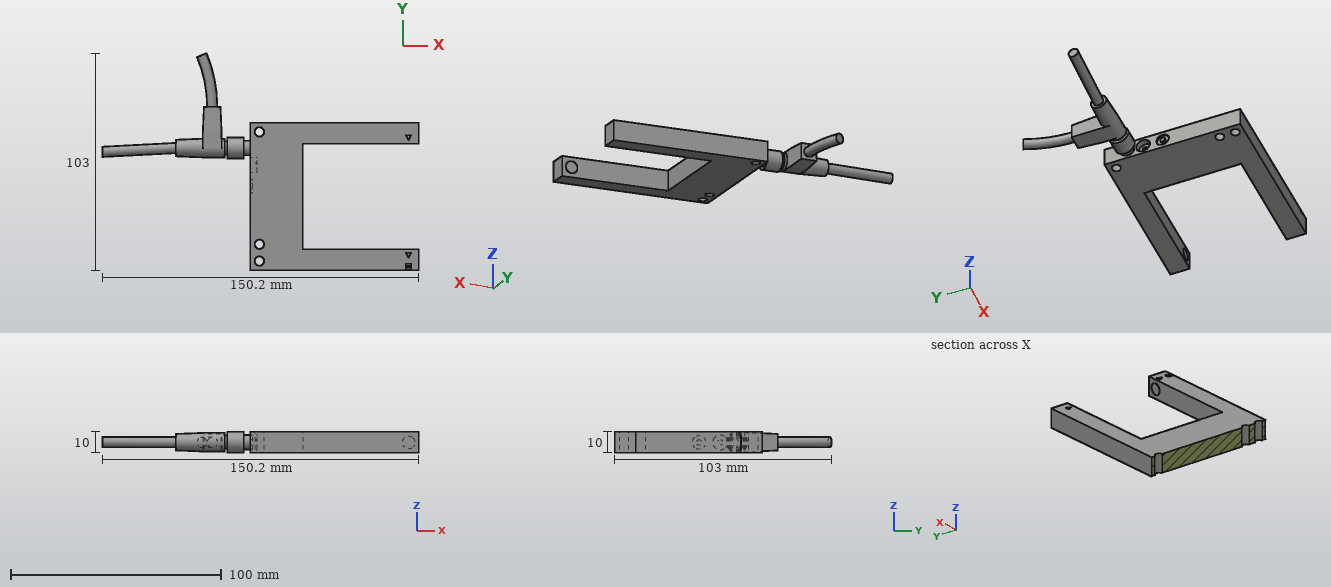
import cadquery as cq
import math


overall_length = 150.2

housing_length = 80.0
housing_width = 70.0
housing_height = 10.0
arm_width = 10.0
web_depth = 25.0
half_width = housing_width / 2
half_height = housing_height / 2
gap_width = housing_width - 2 * arm_width

mount_diameter = 4.4
mount_inset = 4.4
mount_pitch = 8.0

plug_axis_y = half_width - 12.0
indicator_y = half_width - 20.0
indicator_diameter = 7.0
indicator_depth = 3.0
indicator_stud_height = 0.5
trimmer_y = half_width - 30.0
trimmer_diameter = 6.5
trimmer_depth = 0.9
trimmer_stud_height = 0.9
stud_diameter = 2.5

lens_diameter = 6.0
lens_depth = 0.2
lens_inset = 5.0
mark_depth = 0.2
mark_size = 2.4
mark_edge_gap = 1.8
bar_count = 2
bar_height = 0.9
bar_edge_gap = 0.5

spigot_length = 3.0
spigot_diameter = 7.0
nut_length = 8.0
nut_diameter = 10.0
neck_length = 1.2
neck_diameter = 6.5
barrel_length = 10.0
barrel_diameter = 9.0
boot_length = 13.0
boot_end_diameter = 8.0
plug_length = spigot_length + nut_length + neck_length + barrel_length + boot_length

branch_x = -18.0
branch_size = barrel_diameter
branch_straight = 7.7
branch_length = 19.5
branch_end_size = boot_end_diameter

cable_diameter = 5.0
straight_cable_end_x = housing_length - overall_length
straight_cable_shift = 1.8
bend_radius = 63.1
bend_angle = math.radians(22.9)


def mark_pocket(outline):
    """Shallow cutter under the top face for an outline drawn on the XY plane."""
    return outline.extrude(-mark_depth).translate((0, 0, half_height))


def arm_triangle(inner_face_y, arm_direction):
    """Triangle mark near the tip of an arm, pointing along -Y."""
    centre_x = housing_length - lens_inset
    near_y = inner_face_y + arm_direction * mark_edge_gap
    tip_y = min(near_y, near_y + arm_direction * mark_size)
    outline = (
        cq.Workplane("XY")
        .moveTo(centre_x, tip_y)
        .lineTo(centre_x + mark_size / 2, tip_y + mark_size)
        .lineTo(centre_x - mark_size / 2, tip_y + mark_size)
        .close()
    )
    return mark_pocket(outline)


def recess_with_stud(centre_y, diameter, depth, stud_height):
    """Cutter for a round recess in the back face that leaves a stud on its floor."""
    recess = cq.Workplane("YZ").center(centre_y, 0).circle(diameter / 2).extrude(depth)
    stud = (
        cq.Workplane("YZ", origin=(depth - stud_height, 0, 0))
        .center(centre_y, 0)
        .circle(stud_diameter / 2)
        .extrude(stud_height)
    )
    return recess.cut(stud)


def make_housing():
    body = cq.Workplane("XY").box(
        housing_length, housing_width, housing_height, centered=(False, True, True)
    )
    gap = cq.Workplane("XY", origin=(web_depth, 0, 0)).box(
        housing_length - web_depth, gap_width, housing_height, centered=(False, True, True)
    )
    body = body.cut(gap)

    outer_hole_y = half_width - mount_inset
    hole_places = [
        (mount_inset, outer_hole_y),
        (mount_inset, -outer_hole_y),
        (mount_inset, -outer_hole_y + mount_pitch),
    ]
    mount_holes = (
        cq.Workplane("XY")
        .pushPoints(hole_places)
        .circle(mount_diameter / 2)
        .extrude(half_height, both=True)
    )
    body = body.cut(mount_holes)

    body = body.cut(
        recess_with_stud(indicator_y, indicator_diameter, indicator_depth, indicator_stud_height)
    )
    body = body.cut(
        recess_with_stud(trimmer_y, trimmer_diameter, trimmer_depth, trimmer_stud_height)
    )

    window_span = gap_width / 2 + lens_depth
    windows = (
        cq.Workplane("XZ")
        .center(housing_length - lens_inset, 0)
        .circle(lens_diameter / 2)
        .extrude(window_span, both=True)
    )
    body = body.cut(windows)

    for arm_direction in (1, -1):
        body = body.cut(arm_triangle(arm_direction * gap_width / 2, arm_direction))

    for bar_number in range(bar_count):
        bar_y = -half_width + bar_edge_gap + (2 * bar_number + 0.5) * bar_height
        bar = cq.Workplane("XY").center(housing_length - lens_inset, bar_y).rect(mark_size, bar_height)
        body = body.cut(mark_pocket(bar))
    return body


def make_plug():
    """Spigot, nut, neck, barrel and tapered boot turned on one axis, plus the side branch."""
    nut_front = -spigot_length
    nut_back = nut_front - nut_length
    barrel_front = nut_back - neck_length
    barrel_back = barrel_front - barrel_length
    profile = (
        cq.Workplane("XY")
        .lineTo(0, spigot_diameter / 2)
        .lineTo(nut_front, spigot_diameter / 2)
        .lineTo(nut_front, nut_diameter / 2)
        .lineTo(nut_back, nut_diameter / 2)
        .lineTo(nut_back, neck_diameter / 2)
        .lineTo(barrel_front, neck_diameter / 2)
        .lineTo(barrel_front, barrel_diameter / 2)
        .lineTo(barrel_back, barrel_diameter / 2)
        .lineTo(-plug_length, boot_end_diameter / 2)
        .lineTo(-plug_length, 0)
        .close()
    )
    turned = profile.revolve(360, (0, 0, 0), (1, 0, 0))

    block = cq.Workplane("XY", origin=(branch_x, 0, 0)).box(
        branch_size, branch_straight, branch_size, centered=(True, False, True)
    )
    taper = (
        cq.Workplane("XZ", origin=(branch_x, branch_straight, 0))
        .rect(branch_size, branch_size)
        .workplane(offset=branch_straight - branch_length)
        .rect(branch_end_size, branch_end_size)
        .loft()
    )
    return turned.union(block).union(taper).translate((0, plug_axis_y, 0))


def make_cable(end_plane, path):
    """Round cable swept along a path that starts at the origin of the end plane."""
    return cq.Workplane(end_plane).circle(cable_diameter / 2).sweep(path)


def make_straight_cable():
    """Cable leaving the boot at a slight slant towards -Y."""
    start = cq.Vector(-plug_length, plug_axis_y, 0)
    end_y = plug_axis_y - straight_cable_shift
    path = cq.Workplane("XY").moveTo(start.x, start.y).lineTo(straight_cable_end_x, end_y)
    return make_cable(cq.Plane(start, xDir=(0, 1, 0), normal=(-1, 0, 0)), path)


def make_bent_cable():
    """Cable leaving the side branch along +Y and bending towards -X."""
    start = cq.Vector(branch_x, plug_axis_y + branch_length, 0)

    def bend_point(angle):
        return (
            start.x - bend_radius * (1 - math.cos(angle)),
            start.y + bend_radius * math.sin(angle),
        )

    path = (
        cq.Workplane("XY")
        .moveTo(start.x, start.y)
        .threePointArc(bend_point(bend_angle / 2), bend_point(bend_angle))
    )
    return make_cable(cq.Plane(start, xDir=(1, 0, 0), normal=(0, 1, 0)), path)


housing = make_housing()
plug = make_plug()
straight_cable = make_straight_cable()
bent_cable = make_bent_cable()

result = cq.Compound.makeCompound(
    [housing.val(), plug.val(), straight_cable.val(), bent_cable.val()]
)